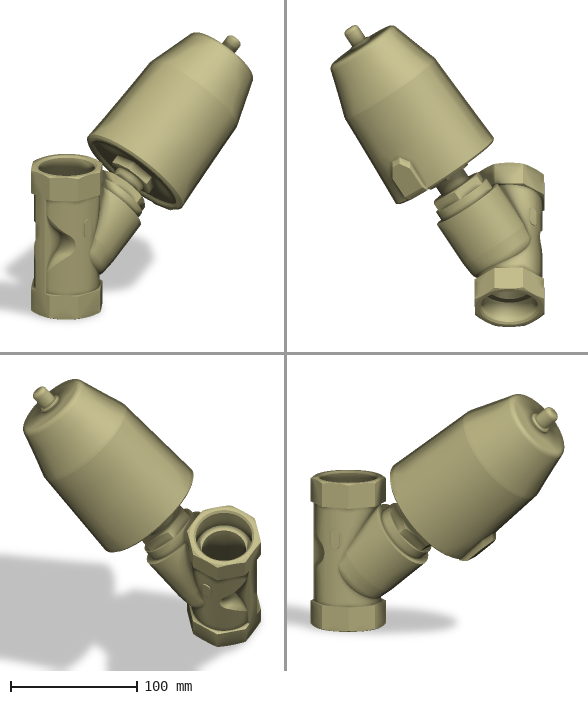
import cadquery as cq
import math


body_length = 120
body_diameter = 52
socket_flats = 55
socket_sides = 8
socket_height = 20
corner_bevel_diameter = 54.5
corner_bevel_height = 1.2
bore_diameter = 35
thread_diameter = 44.84
thread_depth = 20
mouth_diameter = 48
rib_width = 10.9

shoulder_radius = body_diameter / 2
upper_shoulder_z = 31.4
lower_shoulder_z = -27.8
notch_tip_y = -10.9
seat_wall = 3.6
half_gap = (upper_shoulder_z - lower_shoulder_z) / 2
notch_tip_radius = (
    (notch_tip_y**2 + half_gap**2 - shoulder_radius**2) / (2 * (shoulder_radius + notch_tip_y))
)
notch_centre_y = notch_tip_y - notch_tip_radius
notch_centre_z = (upper_shoulder_z + lower_shoulder_z) / 2

pad_length = 15.6
pad_width = 6.9
pad_centre_y = -0.4
pad_centre_z = 14.4
pad_height = 0.8

axis_angle = 40
axis_origin_z = -21.6
branch_diameter = 58
branch_foot_diameter = 54.8
branch_foot_station = 4.5
branch_foot_round = 9
branch_taper_station = 23
branch_top_station = 60.5
collar_diameter = 48
collar_top_station = 69
bonnet_flats = 41
bonnet_top_station = 77
bonnet_chamfer = 1.2
stem_diameter = 26
washer_diameter = 36.5
washer_thickness = 0.6
nut_flats = 33.6
nut_station = 86.7

housing_station = 91
rim_diameter = 89.6
rim_bevel_height = 1.6
housing_base_diameter = 93.67
shoulder_station = 170.9
housing_shoulder_diameter = 86
seam_width = 2
seam_top_diameter = 85
cap_diameter = 60
cap_station = 212.6
cap_round = 4.7
recess_diameter = 81.7
recess_mouth_diameter = 83.4
recess_mouth_bevel = 0.8
recess_depth = 3
recess_floor = housing_station + recess_depth

indicator_ring_diameter = 18.2
indicator_ring_height = 2.6
indicator_ring_bevel = 1
indicator_diameter = 12.8
indicator_top_station = 229
indicator_round = 3.2

port_width = 20
port_end_station = 121
port_reach = 49.7
port_root = 40
port_front_bevel = 4.5
port_front_bevel_depth = 3.7
port_corner = 6

angle = math.radians(axis_angle)
axis_plane = cq.Plane(
    origin=(0, 0, axis_origin_z),
    xDir=(1, 0, 0),
    normal=(0, math.cos(angle), math.sin(angle)),
)


def on_axis(shape):
    """Move a shape built along Z onto the inclined axis; its +Y side becomes the underside."""
    return cq.Workplane(shape.val().moved(axis_plane.location))


def cylinder(diameter, start, end):
    return cq.Workplane("XY").workplane(offset=start).circle(diameter / 2).extrude(end - start)


def hexagon(flats, start, end):
    """Hexagonal prism with corners on the X axis."""
    corner_diameter = flats / math.cos(math.pi / 6)
    return cq.Workplane("XY").workplane(offset=start).polygon(6, corner_diameter).extrude(end - start)


def turned(points):
    """Solid of revolution about Z from (radius, height) points."""
    return cq.Workplane("XZ").polyline(points).close().revolve(360, (0, 0, 0), (0, 1, 0))


def socket():
    """Octagonal top socket with its corners bevelled at the end face."""
    top = body_length / 2
    corner_diameter = socket_flats / math.cos(math.pi / socket_sides)
    octagon = (
        cq.Workplane("XY")
        .workplane(offset=top - socket_height)
        .transformed(rotate=(0, 0, 180 / socket_sides))
        .polygon(socket_sides, corner_diameter)
        .extrude(socket_height)
    )
    bevel_envelope = turned([
        (0, top - socket_height),
        (corner_diameter / 2, top - socket_height),
        (corner_diameter / 2, top - corner_bevel_height),
        (corner_bevel_diameter / 2, top),
        (0, top),
    ])
    return octagon.intersect(bevel_envelope)


def waist_notch():
    """Prism along X in front of the shoulders, closed by the tip arc between them."""
    touch_share = shoulder_radius / (shoulder_radius + notch_tip_radius)
    touch_y = notch_centre_y * touch_share
    touch_rise = half_gap * touch_share
    middle_angle = math.atan2(touch_rise, -touch_y) / 2
    middle_y = -shoulder_radius * math.cos(middle_angle)
    middle_rise = shoulder_radius * math.sin(middle_angle)
    return (
        cq.Workplane("YZ")
        .moveTo(-shoulder_radius, lower_shoulder_z)
        .threePointArc((middle_y, lower_shoulder_z + middle_rise), (touch_y, lower_shoulder_z + touch_rise))
        .threePointArc((notch_tip_y, notch_centre_z), (touch_y, upper_shoulder_z - touch_rise))
        .threePointArc((middle_y, upper_shoulder_z - middle_rise), (-shoulder_radius, upper_shoulder_z))
        .lineTo(-socket_flats, upper_shoulder_z)
        .lineTo(-socket_flats, lower_shoulder_z)
        .close()
        .extrude(socket_flats, both=True)
    )


def rib():
    """Flat rib that joins the two sockets along the -Y side."""
    depth = socket_flats / 2 + notch_tip_y
    return cq.Workplane("XY").box(rib_width, depth, body_length - 2 * socket_height).translate(
        (0, notch_tip_y - depth / 2, 0)
    )


def side_pads():
    reach = body_diameter / 2 + pad_height
    return (
        cq.Workplane("YZ")
        .center(pad_centre_y, pad_centre_z)
        .slot2D(pad_length, pad_width, 90)
        .extrude(reach, both=True)
    )


def passage():
    """Through bore, narrowed on the -Y side by the seat wall, with a wider socket bore at each end."""
    top = body_length / 2
    seat = (
        cq.Workplane("YZ")
        .center(notch_centre_y, notch_centre_z)
        .circle(notch_tip_radius + seat_wall)
        .extrude(bore_diameter, both=True)
    )
    bore = cylinder(bore_diameter, -top, top).cut(seat)
    mouth_depth = (mouth_diameter - thread_diameter) / 2
    socket_bore = turned([
        (0, top - thread_depth),
        (thread_diameter / 2, top - thread_depth),
        (thread_diameter / 2, top - mouth_depth),
        (mouth_diameter / 2, top),
        (0, top),
    ])
    return bore.union(socket_bore).union(socket_bore.mirror("XY"))


def branch():
    """Branch with a tapered, rounded foot, and the collar above it."""
    foot = turned([
        (0, branch_foot_station),
        (branch_foot_diameter / 2, branch_foot_station),
        (branch_diameter / 2, branch_taper_station),
        (branch_diameter / 2, branch_top_station),
        (0, branch_top_station),
    ])
    foot = foot.faces("<Z").edges().fillet(branch_foot_round)
    return foot.union(cylinder(collar_diameter, branch_top_station, collar_top_station))


def neck():
    """Bonnet hexagon, stem, and the nut with its washer under the actuator."""
    corner_radius = bonnet_flats / math.sqrt(3)
    bonnet = hexagon(bonnet_flats, collar_top_station, bonnet_top_station)
    bonnet_envelope = turned([
        (0, collar_top_station),
        (corner_radius, collar_top_station),
        (corner_radius, bonnet_top_station - bonnet_chamfer),
        (bonnet_flats / 2, bonnet_top_station),
        (0, bonnet_top_station),
    ])
    return (
        bonnet.intersect(bonnet_envelope)
        .union(cylinder(stem_diameter, bonnet_top_station, recess_floor))
        .union(cylinder(washer_diameter, nut_station, nut_station + washer_thickness))
        .union(hexagon(nut_flats, nut_station, recess_floor))
    )


def air_port():
    """Block under the housing: bevelled at the rim end, upright at the far end with its corners cut."""
    depth = port_reach - port_root
    end_lean = depth * math.tan(angle)
    block = (
        cq.Workplane("YZ")
        .moveTo(port_root, housing_station)
        .lineTo(port_reach - port_front_bevel_depth, housing_station)
        .lineTo(port_reach, housing_station + port_front_bevel)
        .lineTo(port_reach, port_end_station)
        .lineTo(port_root, port_end_station + end_lean)
        .close()
        .extrude(port_width / 2, both=True)
    )
    end_middle = (0, port_reach - depth / 2, port_end_station + end_lean / 2)
    end_face = cq.selectors.NearestToPointSelector(end_middle)
    return block.faces(end_face).edges("not |X").chamfer(port_corner)


def housing():
    """Two-part tapered housing with a bevelled rim, a seam band and a recessed underside."""
    shell = turned([
        (0, housing_station),
        (rim_diameter / 2, housing_station),
        (housing_base_diameter / 2, housing_station + rim_bevel_height),
        (housing_shoulder_diameter / 2, shoulder_station),
        (seam_top_diameter / 2, shoulder_station + seam_width),
        (cap_diameter / 2, cap_station),
        (0, cap_station),
    ])
    shell = shell.faces(">Z").edges().fillet(cap_round)
    recess = turned([
        (0, housing_station),
        (recess_mouth_diameter / 2, housing_station),
        (recess_diameter / 2, housing_station + recess_mouth_bevel),
        (recess_diameter / 2, recess_floor),
        (0, recess_floor),
    ])
    return shell.union(air_port()).cut(recess)


def indicator():
    ring_radius = indicator_ring_diameter / 2
    ring_top = cap_station + indicator_ring_height
    ring = turned([
        (0, cap_station),
        (ring_radius, cap_station),
        (ring_radius, ring_top - indicator_ring_bevel),
        (ring_radius - indicator_ring_bevel, ring_top),
        (0, ring_top),
    ])
    pin = cylinder(indicator_diameter, cap_station, indicator_top_station)
    return ring.union(pin.faces(">Z").edges().fillet(indicator_round))


pipe = cylinder(body_diameter, -body_length / 2, body_length / 2).union(side_pads())
pipe = pipe.cut(waist_notch()).union(rib())
pipe = pipe.union(socket()).union(socket().mirror("XY"))

actuator = housing().union(neck()).union(indicator())

result = pipe.union(on_axis(branch())).union(on_axis(actuator)).cut(passage())